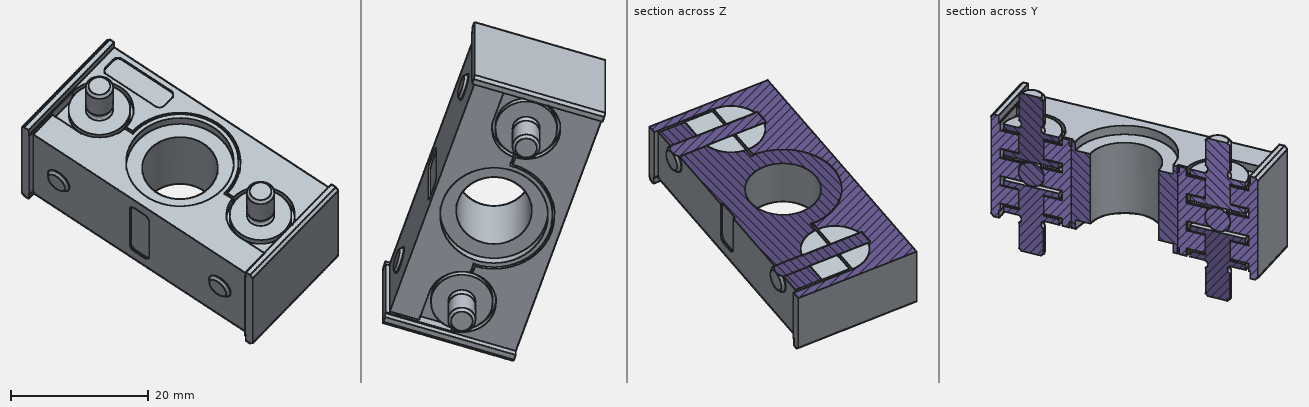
import cadquery as cq

length = 43.0
depth = 20.0
overall_height = 26.8
block_height = 14.88
back_y = depth / 2
front_y = -depth / 2
top_z = block_height / 2

wall_height = 17.37
wall_inner_x = 20.05
wall_lip = 1.3
wall_chamfer = 0.47

clamp_half_length = 19.75
clamp_front_y = -9.45
split_gap = 0.35
collar_radius = 8.5
relief_radius = 8.8
relief_depth = 1.0

bore_diameter = 11.0
seat_diameter = 15.7
seat_depth = 1.5

label_length = 10.92
label_width = 3.55
label_corner = 0.9
label_depth = 0.3
label_x = -13.5
label_y = 7.3

stud_x = 15.0
stud_diameter = 4.0
stud_tip_z = overall_height / 2
stud_shoulder_z = 8.7
tip_chamfer = 0.45
neck_diameter = 3.22
flange_diameter = 9.0
flange_thickness = 1.0
outer_flange_top_z = top_z
inner_flange_top_z = 3.05

recess_radius = 5.0
outer_recess_floor_z = 6.2
inner_recess_low_z = 1.55
inner_recess_high_z = 3.1

screw_end_y = 5.15

sides = (-1, 1)


def block(x_min, x_max, y_min, y_max, z_min, z_max):
    """Box given by its limits along each axis."""
    size = (x_max - x_min, y_max - y_min, z_max - z_min)
    return cq.Workplane("XY").box(*size, centered=False).translate((x_min, y_min, z_min))


def disc(radius, z_min, z_max, x=0):
    """Upright cylinder whose axis lies in the XZ plane."""
    return cq.Workplane("XY", origin=(x, 0, z_min)).circle(radius).extrude(z_max - z_min)


def label_pocket():
    """Rounded cutter, lying along X, centred on the origin."""
    blank = cq.Workplane("XY").box(label_length, label_width, 2 * label_depth)
    return blank.edges("|Z").fillet(label_corner)


def stud(x, direction):
    """Turned stud with two flanges; direction 1 points up, -1 down."""
    stud_radius = stud_diameter / 2
    flange_radius = flange_diameter / 2
    inner_flange_bottom_z = inner_flange_top_z - flange_thickness
    outer_flange_bottom_z = outer_flange_top_z - flange_thickness
    neck_middle_z = (outer_flange_top_z + stud_shoulder_z) / 2
    profile = (
        cq.Workplane("XZ")
        .moveTo(0, inner_flange_bottom_z)
        .lineTo(flange_radius, inner_flange_bottom_z)
        .lineTo(flange_radius, inner_flange_top_z)
        .lineTo(stud_radius, inner_flange_top_z)
        .lineTo(stud_radius, outer_flange_bottom_z)
        .lineTo(flange_radius, outer_flange_bottom_z)
        .lineTo(flange_radius, outer_flange_top_z)
        .lineTo(stud_radius, outer_flange_top_z)
        .threePointArc((neck_diameter / 2, neck_middle_z), (stud_radius, stud_shoulder_z))
        .lineTo(stud_radius, stud_tip_z - tip_chamfer)
        .lineTo(stud_radius - tip_chamfer, stud_tip_z)
        .lineTo(0, stud_tip_z)
        .close()
    )
    upright = profile.revolve(360, (0, 0, 0), (0, 1, 0))
    if direction < 0:
        upright = upright.mirror("XY")
    return upright.translate((x, 0, 0))


def screw(x):
    """Screw along Y whose chamfered tip stands proud of the clamp."""
    rod = cq.Workplane("XZ", origin=(x, screw_end_y, 0)).circle(stud_diameter / 2)
    return rod.extrude(screw_end_y - front_y).faces("<Y").chamfer(tip_chamfer)


def recess(side, z_min, z_max):
    """Round flange recess that opens outward across the clamp's end."""
    centre_x = side * stud_x
    round_part = disc(recess_radius, z_min, z_max, centre_x)
    outer_x = side * wall_inner_x
    x_min, x_max = sorted((centre_x, outer_x))
    return round_part.union(block(x_min, x_max, -recess_radius, 0, z_min, z_max))


def cut_stud_and_screw_seats(body):
    """Cut the stud bores, flange recesses and screw holes."""
    recess_levels = (
        (outer_recess_floor_z, top_z),
        (inner_recess_low_z, inner_recess_high_z),
        (-inner_recess_high_z, -inner_recess_low_z),
        (-top_z, -outer_recess_floor_z),
    )
    for side in sides:
        for z_min, z_max in recess_levels:
            body = body.cut(recess(side, z_min, z_max))
        for direction in sides:
            z_min, z_max = sorted((direction * inner_recess_high_z, direction * outer_recess_floor_z))
            body = body.cut(disc(stud_diameter / 2, z_min, z_max, side * stud_x))
        hole = cq.Workplane("XZ", origin=(side * stud_x, screw_end_y, 0)).circle(stud_diameter / 2)
        body = body.cut(hole.extrude(depth))
    return body


def make_base():
    """Rear block with a half-round saddle and a taller wall at each end."""
    lip_x = length / 2 - wall_lip
    body = block(-lip_x, lip_x, front_y, back_y, -top_z, top_z)
    for side in sides:
        x_min, x_max = sorted((side * lip_x, side * length / 2))
        wall = block(x_min, x_max, front_y, back_y, -wall_height / 2, wall_height / 2)
        outer_face = ">X" if side > 0 else "<X"
        body = body.union(wall.faces(outer_face).edges("|Y").chamfer(wall_chamfer))
    body = body.cut(block(-wall_inner_x, wall_inner_x, front_y, 0, -top_z, top_z))
    body = body.cut(disc(collar_radius, -top_z, top_z))
    body = body.cut(disc(relief_radius, top_z - relief_depth, top_z))
    body = body.cut(disc(relief_radius, -top_z, -top_z + relief_depth))
    body = cut_stud_and_screw_seats(body)
    return body.cut(label_pocket().translate((label_x, label_y, top_z)))


def make_clamp():
    """Front block with a collar that reaches into the saddle of the base."""
    body = block(-clamp_half_length, clamp_half_length, clamp_front_y, -split_gap, -top_z, top_z)
    body = body.union(disc(collar_radius, -top_z, top_z))
    body = body.cut(disc(bore_diameter / 2, -top_z, top_z))
    body = body.cut(disc(seat_diameter / 2, top_z - seat_depth, top_z))
    body = body.cut(disc(seat_diameter / 2, -top_z, -top_z + seat_depth))
    body = cut_stud_and_screw_seats(body)
    front_label = label_pocket().rotate((0, 0, 0), (0, 1, 0), 90).rotate((0, 0, 0), (0, 0, 1), 90)
    return body.cut(front_label.translate((0, clamp_front_y, 0)))


base = make_base()
clamp = make_clamp()
studs = [stud(side * stud_x, direction) for side in sides for direction in sides]
screws = [screw(side * stud_x) for side in sides]

bodies = [base, clamp, *studs, *screws]
result = cq.Compound.makeCompound([body.solids().val() for body in bodies])